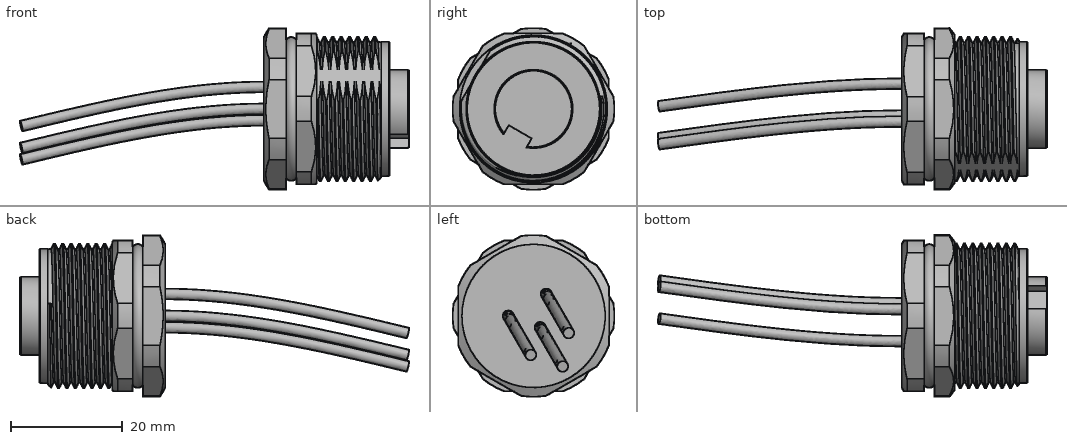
import cadquery as cq
import math

overall_length = 69.6

flange_end = 4.05
nut_start = 5.85
nut_end = 9.5
thread_end = 21.0
collar_end = 22.55
body_length = 26.0

across_flats = 27.0
corner_diameter = 28.95
flange_face_radius = 12.8
nut_face_radius = 13.2
hex_chamfer_length = 1.0

seal_edge_radius = 12.4
seal_crest_radius = 12.9
core_radius = 12.0
collar_radius = 12.05
plug_radius = 7.0
rim_chamfer = 0.2

thread_turns = 6
thread_lead_length = 9.0
thread_pitch = thread_lead_length / thread_turns
thread_radius = 12.95
thread_crest_width = 0.2
thread_base_width = 1.3
thread_overlap = 0.15
thread_runout = 0.85
thread_start = 8.6
thread_flat_distance = 11.9
thread_flat_angle = -30.0

keyway_width = 4.7
keyway_floor_distance = 4.7
keyway_angle = 60.0

wire_radius = 1.0
wire_embed = 1.4
wire_tip_angle = 15.6
wire_droop_angle = 240.0
wire_places = [(4.5, 0.0), (4.5, 120.0), (2.4, 240.0)]


def cylinder_x(start, end, radius):
    """Cylinder on the X axis between two stations."""
    return cq.Workplane("YZ", origin=(start, 0, 0)).circle(radius).extrude(end - start)


def hexagon(start, end, face_radius, turn):
    """Hexagon along X with rounded corners, its end face chamfered by a cone."""
    length = end - start
    corner_radius = corner_diameter / 2
    prism = (
        cq.Workplane("YZ")
        .polygon(6, across_flats, circumscribed=True)
        .extrude(length)
        .rotate((0, 0, 0), (1, 0, 0), turn)
    )
    envelope = (
        cq.Workplane("XY")
        .polyline([
            (0, 0),
            (0, corner_radius),
            (length - hex_chamfer_length, corner_radius),
            (length, face_radius),
            (length, 0),
        ])
        .close()
        .revolve(360, (0, 0, 0), (1, 0, 0))
    )
    return prism.intersect(envelope).translate((start, 0, 0))


def flange():
    """Corners point along Z and the chamfered face is at the rear."""
    return hexagon(-flange_end, 0, flange_face_radius, 0).mirror("YZ")


def nut():
    """Corners point along Y and the chamfered face is at the front."""
    return hexagon(nut_start, nut_end, nut_face_radius, 30)


def seal():
    """Bulging ring between the flange and the nut."""
    middle = (flange_end + nut_start) / 2
    return (
        cq.Workplane("XY")
        .moveTo(flange_end, 0)
        .lineTo(flange_end, seal_edge_radius)
        .threePointArc((middle, seal_crest_radius), (nut_start, seal_edge_radius))
        .lineTo(nut_start, 0)
        .close()
        .revolve(360, (0, 0, 0), (1, 0, 0))
    )


def thread():
    """Right-hand helical ridge that runs out against the collar."""
    base_radius = core_radius - thread_overlap
    helix_length = thread_end - thread_start
    helix = cq.Wire.makeHelix(thread_pitch, helix_length, core_radius)
    ridge = (
        cq.Workplane("XZ")
        .polyline([
            (base_radius, -thread_base_width / 2),
            (thread_radius, -thread_crest_width / 2),
            (thread_radius, thread_crest_width / 2),
            (base_radius, thread_base_width / 2),
        ])
        .close()
        .sweep(cq.Workplane(obj=helix), isFrenet=True)
        .rotate((0, 0, 0), (0, 1, 0), 90)
        .translate((thread_start, 0, 0))
    )
    envelope_radius = thread_radius + thread_overlap
    envelope = (
        cylinder_x(flange_end, thread_end, envelope_radius)
        .faces(">X")
        .chamfer(thread_runout)
    )
    return ridge.intersect(envelope)


def thread_flat():
    """Block that planes a flat across the thread, between the nut and the collar."""
    block_depth = 3.5
    return (
        cq.Workplane("XY")
        .box(thread_end - nut_end, block_depth, 2 * thread_radius)
        .translate(((nut_end + thread_end) / 2, -thread_flat_distance - block_depth / 2, 0))
        .rotate((0, 0, 0), (1, 0, 0), thread_flat_angle)
    )


def plug():
    """Round front plug with one keyway along its whole length."""
    keyway = (
        cq.Workplane("XY")
        .box(body_length - collar_end, plug_radius, keyway_width)
        .translate((
            (collar_end + body_length) / 2,
            -keyway_floor_distance - plug_radius / 2,
            0,
        ))
        .rotate((0, 0, 0), (1, 0, 0), keyway_angle)
    )
    cylinder = cylinder_x(collar_end, body_length, plug_radius)
    return cylinder.faces(">X").chamfer(rim_chamfer).cut(keyway)


def wire(distance, angle):
    """Round wire along the curve of a clamped beam, from inside the flange to its tilted tip."""
    tip_angle = math.radians(wire_tip_angle)
    reach = overall_length - body_length - wire_radius * math.sin(tip_angle)
    droop = reach * math.tan(tip_angle) / 1.5
    direction = math.radians(wire_droop_angle)
    root_y = distance * math.cos(math.radians(angle))
    root_z = distance * math.sin(math.radians(angle))

    def path_point(reach_share, droop_share):
        return (
            -reach * reach_share,
            root_y + droop * droop_share * math.cos(direction),
            root_z + droop * droop_share * math.sin(direction),
        )

    controls = [path_point(0, 0), path_point(1 / 3, 0), path_point(2 / 3, 0.5), path_point(1, 1)]
    path = cq.Workplane("XY").bezier([cq.Vector(*point) for point in controls])
    root = cq.Workplane("YZ", origin=controls[0])
    hanging = root.circle(wire_radius).sweep(path)
    embedded = root.circle(wire_radius).extrude(wire_embed)
    return hanging.union(embedded)


core = cylinder_x(flange_end, thread_end, core_radius)
collar = cylinder_x(thread_end, collar_end, collar_radius).faces(">X").chamfer(rim_chamfer)
result = core.union(thread()).cut(thread_flat())
for piece in (flange(), seal(), nut(), collar, plug()):
    result = result.union(piece)
for distance, angle in wire_places:
    result = result.union(wire(distance, angle))